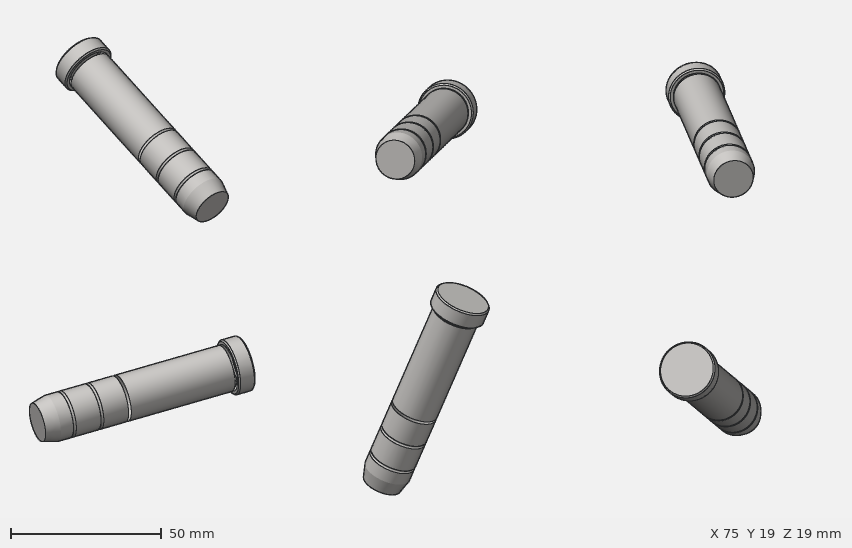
import cadquery as cq
import math

length = 75.0
head_diameter = 19.0
head_length = 6.0
head_chamfer = 0.5
shank_diameter = 16.0
tip_length = 5.0
tip_angle = 15.0
groove_radius = 0.49
relief_radius = 0.45
first_groove_x = 45.0
groove_pitch = 10.0
groove_count = 3

shank_radius = shank_diameter / 2
tip_start = length - tip_length
tip_radius = shank_radius - tip_length * math.tan(math.radians(tip_angle))


def make_head():
    """Flat round head, chamfered on both rims."""
    head = cq.Workplane("YZ").circle(head_diameter / 2).extrude(head_length)
    return head.edges().chamfer(head_chamfer)


def make_shank():
    """Cylindrical shank ending in a tapered lead-in."""
    return (
        cq.Workplane("XY")
        .lineTo(0, shank_radius)
        .lineTo(tip_start, shank_radius)
        .lineTo(length, tip_radius)
        .lineTo(length, 0)
        .close()
        .revolve(360, (0, 0, 0), (1, 0, 0))
    )


def groove_cutter(center_x, radius):
    """Ring of circular section centred on the shank surface."""
    return (
        cq.Workplane("XY")
        .center(center_x, shank_radius)
        .circle(radius)
        .revolve(360, (0, -shank_radius, 0), (1, -shank_radius, 0))
    )


result = make_head().union(make_shank())

result = result.cut(groove_cutter(head_length + relief_radius, relief_radius))

for index in range(groove_count):
    result = result.cut(groove_cutter(first_groove_x + index * groove_pitch, groove_radius))